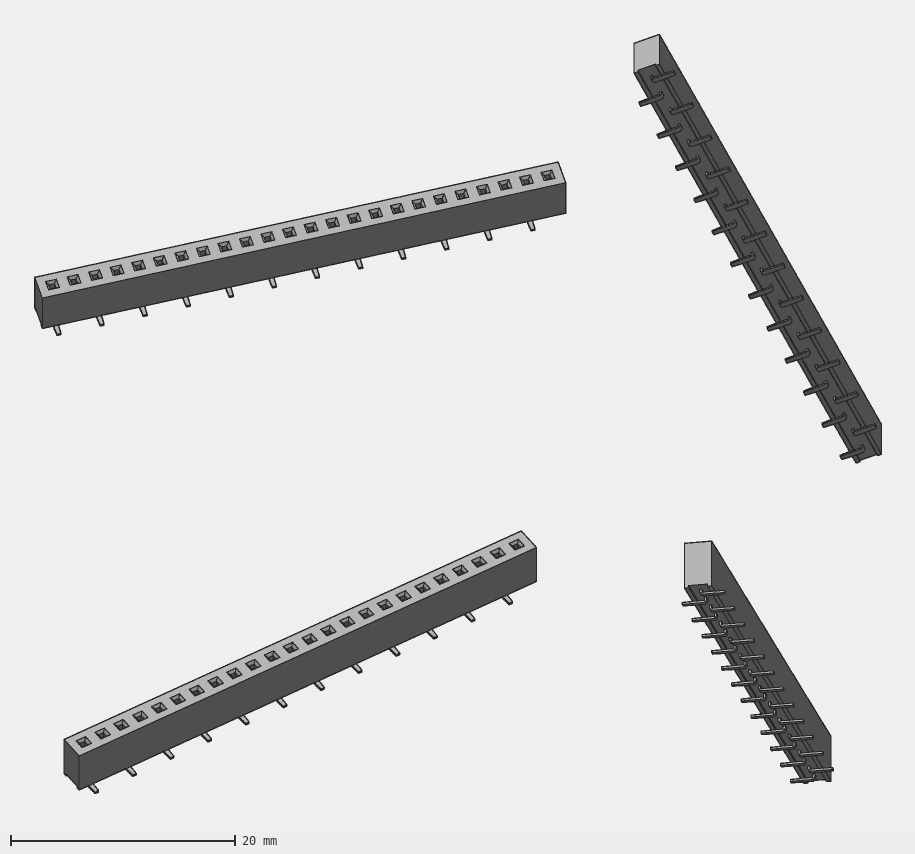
import cadquery as cq
import math

housing_width = 2.5
housing_length = 48.6
overall_height = 4.6
standoff = 0.3
housing_height = overall_height - standoff

contact_count = 24
pitch = 2.0

channel_width = 1.7
channel_depth = 0.2

socket_mouth = 1.0
socket_bore = 0.5
funnel_depth = 0.25
socket_depth = 3.0

overall_width = 4.3
lead_reach = overall_width / 2
strip_thickness = 0.2
bend_radius = 0.3
root_width = 0.46
tip_width = 0.38
taper_start = 1.3
blade_width = 0.4
blade_rise = 0.5


def contact_y(index):
    """Y position of a contact, counted from the +Y end."""
    return ((contact_count - 1) / 2 - index) * pitch


def make_housing():
    """Bar with the channel running its full length underneath."""
    bar = cq.Workplane("XY").workplane(offset=standoff).rect(housing_width, housing_length)
    bar = bar.extrude(housing_height)
    channel = cq.Workplane("XY").workplane(offset=standoff).rect(channel_width, housing_length)
    return bar.cut(channel.extrude(channel_depth))


def make_socket(y):
    """Volume removed for one socket."""
    top = cq.Workplane("XY").workplane(offset=overall_height).center(0, y)
    funnel = top.rect(socket_mouth, socket_mouth).workplane(offset=-funnel_depth)
    funnel = funnel.rect(socket_bore, socket_bore).loft(ruled=True)
    bore = top.rect(socket_bore, socket_bore).extrude(-socket_depth)
    return funnel.union(bore)


def make_foot(side):
    """Foot and bent riser pointing to +X (side = 1) or -X (side = -1), tapering to the tip."""
    back = -side * strip_thickness / 2
    front = side * strip_thickness / 2
    tip = side * lead_reach
    riser_top = standoff + channel_depth
    arc_offset = bend_radius * (1 - math.sqrt(0.5))
    strip = (
        cq.Workplane("XZ")
        .moveTo(back, bend_radius)
        .threePointArc((back + side * arc_offset, arc_offset), (back + side * bend_radius, 0))
        .lineTo(tip, 0)
        .lineTo(tip, strip_thickness)
        .lineTo(front, strip_thickness)
        .lineTo(front, riser_top)
        .lineTo(back, riser_top)
        .close()
        .extrude(root_width / 2, both=True)
    )
    taper_x = side * taper_start
    outline = [
        (back, -root_width / 2),
        (taper_x, -root_width / 2),
        (tip, -tip_width / 2),
        (tip, tip_width / 2),
        (taper_x, root_width / 2),
        (back, root_width / 2),
    ]
    plan = cq.Workplane("XY").polyline(outline).close().extrude(riser_top)
    return strip.intersect(plan)


def make_contact(y, side):
    """Foot with the blade that runs up through the socket floor into the bore."""
    blade_base = standoff + channel_depth
    blade_top = overall_height - socket_depth + blade_rise
    blade = cq.Workplane("XY").workplane(offset=blade_base).rect(strip_thickness, blade_width)
    blade = blade.extrude(blade_top - blade_base)
    return make_foot(side).union(blade).translate((0, y, 0))


result = make_housing()
for index in range(contact_count):
    y = contact_y(index)
    side = 1 if index % 2 else -1
    result = result.cut(make_socket(y)).union(make_contact(y, side))